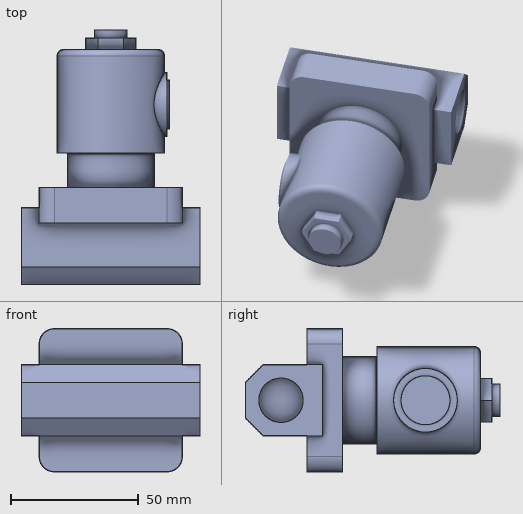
import cadquery as cq
import math

block_length = 70.0
block_height = 27.9
block_depth = 30.1
block_chamfer = 7.0
port_diameter = 17.3
port_depth = 9.6
port_y = 14.0

flange_side = 56.0
flange_front = 24.0
flange_back = 38.1
flange_corner_radius = 6.0
neck_radius = 17.0

coil_front = 51.4
coil_back = 92.0
coil_radius = 21.0
coil_edge_radius = 2.6
spigot_length = 0.3
spigot_front = coil_front - spigot_length

nut_back = 96.5
nut_across_flats = 17.0
nut_across_corners = nut_across_flats / math.cos(math.pi / 6)
stud_back = 99.7
stud_radius = 6.4

boss_y = 70.5
boss_radius = 12.5
boss_end = 21.9
boss_face_radius = 9.6
boss_face_end = 22.9


def plane_at_y(y):
    """Plane across the valve axis whose normal points to +Y."""
    return cq.Workplane(cq.Plane(origin=(0, y, 0), xDir=(1, 0, 0), normal=(0, 1, 0)))


def cylinder_along_y(radius, start, end):
    return plane_at_y(start).circle(radius).extrude(end - start)


def cylinder_along_x(radius, y, start, end):
    return cq.Workplane("YZ", origin=(start, y, 0)).circle(radius).extrude(end - start)


def make_valve_body():
    block = (
        cq.Workplane("XY")
        .box(block_length, block_depth, block_height, centered=(True, False, True))
        .faces("<Y").edges("|X").chamfer(block_chamfer)
    )
    flange = (
        plane_at_y(flange_front)
        .rect(flange_side, flange_side)
        .extrude(flange_back - flange_front)
        .edges("|Y").fillet(flange_corner_radius)
    )
    neck = cylinder_along_y(neck_radius, flange_back, spigot_front)
    body = block.union(flange).union(neck)

    block_end = block_length / 2
    for side in (-1, 1):
        port = cylinder_along_x(
            port_diameter / 2, port_y, side * block_end, side * (block_end - port_depth)
        )
        body = body.cut(port)
    return body


def make_coil():
    shell = (
        cylinder_along_y(coil_radius, coil_front, coil_back)
        .faces(">Y").edges().fillet(coil_edge_radius)
    )
    spigot = cylinder_along_y(neck_radius, spigot_front, coil_front)
    nut = plane_at_y(coil_back).polygon(6, nut_across_corners).extrude(nut_back - coil_back)
    stud = cylinder_along_y(stud_radius, nut_back, stud_back)
    boss = cylinder_along_x(boss_radius, boss_y, 0, boss_end)
    boss_face = cylinder_along_x(boss_face_radius, boss_y, boss_end, boss_face_end)
    return shell.union(spigot).union(nut).union(stud).union(boss).union(boss_face)


valve_body = make_valve_body()
coil = make_coil()

result = cq.Compound.makeCompound([valve_body.val(), coil.val()])